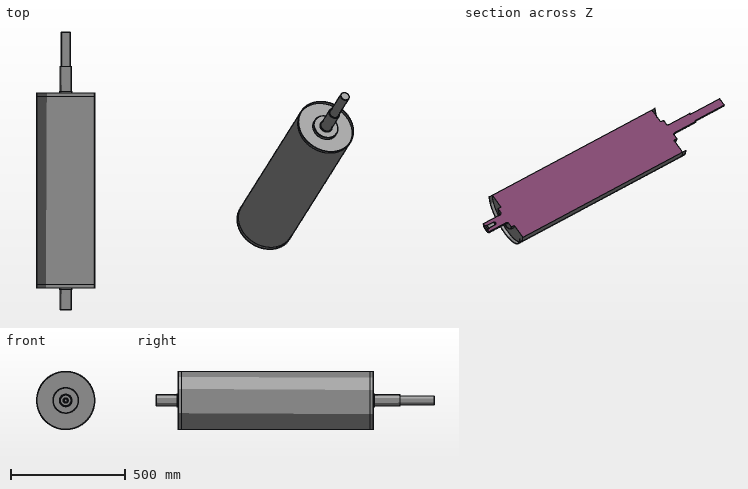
import cadquery as cq
import math

SHELL_LENGTH = 850.0
SHELL_DIAMETER = 254.0
SHELL_BORE = 250.0
END_RECESS_DEPTH = 15.0

HUB_DIAMETER = 112.0

OVERALL_LENGTH = 1210.0
COLLAR_DIAMETER = 55.0
COLLAR_PROJECTION = 5.0
JOURNAL_DIAMETER = 50.0
BACK_JOURNAL_PROJECTION = 115.0
DRIVE_DIAMETER = 40.0
DRIVE_LENGTH = 150.0

EDGE_CHAMFER = 2.0

TAP_DIAMETER = 13.84
TAP_DEPTH = 45.0
DRILL_POINT_ANGLE = 120.0
COUNTERBORE_DIAMETER = 17.0
COUNTERBORE_DEPTH = 12.0
CENTRE_MOUTH_DIAMETER = 23.5
CENTRE_CONE_ANGLE = 60.0

SHELL_FRONT = -SHELL_LENGTH / 2
SHELL_BACK = SHELL_LENGTH / 2
JOURNAL_BACK = SHELL_BACK + BACK_JOURNAL_PROJECTION
SHAFT_BACK = JOURNAL_BACK + DRIVE_LENGTH
SHAFT_FRONT = SHAFT_BACK - OVERALL_LENGTH


def cylinder(diameter, y_start, y_end):
    """Solid cylinder on the Y axis between two Y positions."""
    base = cq.Workplane("XZ", origin=(0, y_end, 0))
    return base.circle(diameter / 2).extrude(y_end - y_start)


def make_drum():
    """Shell with a recess and a chamfered hub boss at both ends; the hub runs through as a core."""
    drum = cylinder(SHELL_DIAMETER, SHELL_FRONT, SHELL_BACK)
    drum = drum.cut(cylinder(SHELL_BORE, SHELL_FRONT, SHELL_FRONT + END_RECESS_DEPTH))
    drum = drum.cut(cylinder(SHELL_BORE, SHELL_BACK - END_RECESS_DEPTH, SHELL_BACK))
    hub = cylinder(HUB_DIAMETER, SHELL_FRONT, SHELL_BACK)
    return drum.union(hub.faces("<Y or >Y").edges().chamfer(EDGE_CHAMFER))


def make_shaft():
    """Collar through the drum, a journal on each side and the drive end at the back."""
    collar_front = SHELL_FRONT - COLLAR_PROJECTION
    collar_back = SHELL_BACK + COLLAR_PROJECTION
    collar = cylinder(COLLAR_DIAMETER, collar_front, collar_back)
    journal = cylinder(JOURNAL_DIAMETER, SHAFT_FRONT, JOURNAL_BACK)
    journal = journal.faces("<Y").edges().chamfer(EDGE_CHAMFER)
    drive_end = cylinder(DRIVE_DIAMETER, JOURNAL_BACK, SHAFT_BACK)
    drive_end = drive_end.faces(">Y").edges().chamfer(EDGE_CHAMFER)
    return collar.union(journal).union(drive_end)


def make_centre_hole():
    """Cutter for the tapping bore, its counterbore, the centring cone at the mouth and the drill point."""
    mouth_radius = CENTRE_MOUTH_DIAMETER / 2
    counterbore_radius = COUNTERBORE_DIAMETER / 2
    tap_radius = TAP_DIAMETER / 2
    cone_depth = (mouth_radius - counterbore_radius) / math.tan(math.radians(CENTRE_CONE_ANGLE / 2))
    point_depth = tap_radius / math.tan(math.radians(DRILL_POINT_ANGLE / 2))
    counterbore_end = SHAFT_FRONT + COUNTERBORE_DEPTH
    tap_end = SHAFT_FRONT + TAP_DEPTH
    half_section = [
        (0, SHAFT_FRONT),
        (mouth_radius, SHAFT_FRONT),
        (counterbore_radius, SHAFT_FRONT + cone_depth),
        (counterbore_radius, counterbore_end),
        (tap_radius, counterbore_end),
        (tap_radius, tap_end),
        (0, tap_end + point_depth),
    ]
    return cq.Workplane("XY").polyline(half_section).close().revolve(360, (0, 0), (0, 1))


result = make_drum().union(make_shaft()).cut(make_centre_hole())